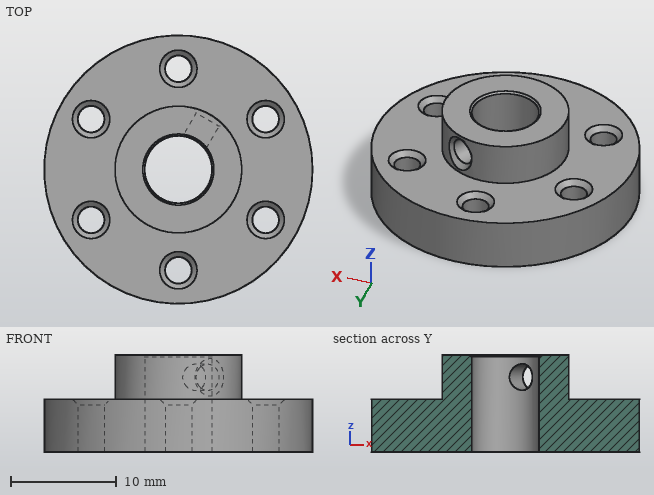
import cadquery as cq
import math

flange_diameter = 25.4
flange_thickness = 5.0
hub_diameter = 12.0
overall_height = 9.2

bore_diameter = 6.35
bore_chamfer = 0.19
bore_chamfer_angle = 90.0

screw_count = 6
screw_circle_diameter = 19.05
screw_hole_diameter = 2.5
countersink_diameter = 3.53
countersink_angle = 90.0
screw_start_angle = 30.0

set_screw_angle = screw_start_angle + 180.0 / screw_count
set_screw_height = (flange_thickness + overall_height) / 2


def make_body():
    """Disc flange with a concentric hub on top."""
    hub = cq.Workplane("XY").circle(hub_diameter / 2).extrude(overall_height)
    flange = cq.Workplane("XY").circle(flange_diameter / 2).extrude(flange_thickness)
    return flange.union(hub)


def cut_bore(body):
    """Through bore with a chamfered upper rim."""
    rim_diameter = bore_diameter + 2 * bore_chamfer
    return body.faces(">Z").workplane().cskHole(bore_diameter, rim_diameter, bore_chamfer_angle)


def cut_screw_holes(body):
    """Countersunk through holes, evenly spaced on the screw circle."""
    return (
        body.copyWorkplane(cq.Workplane("XY", origin=(0, 0, flange_thickness)))
        .polarArray(screw_circle_diameter / 2, screw_start_angle, 360, screw_count)
        .cskHole(screw_hole_diameter, countersink_diameter, countersink_angle)
    )


def cut_set_screw_hole(body):
    """Horizontal hole from the hub's outer side into the bore, countersunk at the outer end."""
    outward = (math.cos(math.radians(set_screw_angle)), math.sin(math.radians(set_screw_angle)), 0)
    hub_radius = hub_diameter / 2
    entry_point = (hub_radius * outward[0], hub_radius * outward[1], set_screw_height)
    return body.copyWorkplane(cq.Workplane(cq.Plane(entry_point, normal=outward))).cskHole(
        screw_hole_diameter, countersink_diameter, countersink_angle, depth=hub_radius
    )


result = make_body()
result = cut_bore(result)
result = cut_screw_holes(result)
result = cut_set_screw_hole(result)